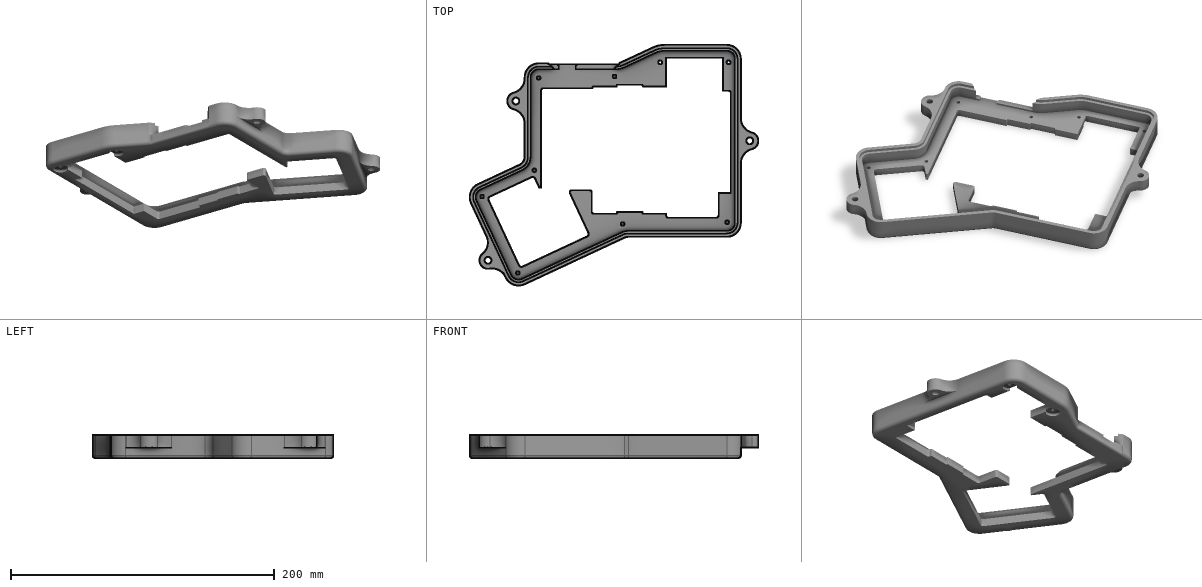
import cadquery as cq
import math

total_height = 17.8
floor_thickness = 6.1
sill_height = 7.7
lug_height = 9.7
lid_seat_depth = 2.2
bottom_round = 2.5

lip_width = 2.6
wall_width = 4.5
convex_radius = 11.0
concave_radius = 6.5
shoulder_radius = 22.0
shoulder_foot_radius = 13.2

left_side = 41.7
right_side = 206.2
front_side = 37.0
back_side = 183.2
back_left_side = 169.1

wing_angle = math.radians(25)
wing_left = 27.5
wing_front = -16.7
wing_back = 67.3
shoulder_slope = 105.3

lug_radius = 6.5
lug_hole_diameter = 5.0
lug_offset = 6.5
lug_blend_radius = 11.0

screw_diameter = 2.9
screw_depth = 3.3
head_diameter = 11.0
head_depth = 2.2

notch_recess = 0.7
notch_left = 64.3
notch_right = 109.5
gap_left = 67.5
gap_right = 80.7
gap_flare = 1.3

opening_left = 54.5
opening_right = 198.3
opening_back = 150.0
opening_front = 54.8
window_front = -3.7
window_back = 54.8
window_left = 40.5
window_right = 98.7
spike_edge = 79.5
step = 1.3
step_round = 0.55
bay_end_round = 1.5
opening_round = 1.5
window_round = 2.0


def wing(u, v):
    """Point given along the wing's own axes."""
    c, s = math.cos(wing_angle), math.sin(wing_angle)
    return (u * c - v * s, u * s + v * c)


def wing_v_at_x(x, v):
    """Point at the given x on the wing line of constant v."""
    return (x, (v + x * math.sin(wing_angle)) / math.cos(wing_angle))


def wing_v_at_y(y, v):
    """Point at the given y on the wing line of constant v."""
    return ((y * math.cos(wing_angle) - v) / math.sin(wing_angle), y)


def wing_u_at_y(y, u):
    """Point at the given y on the wing line of constant u."""
    return ((u - y * math.sin(wing_angle)) / math.cos(wing_angle), y)


def rounded_outline(corners, z=0):
    """Closed outline through (point, radius) corners; radius 0 stays sharp."""
    work = cq.Workplane("XY").workplane(offset=z)
    started = False
    for i, (point, radius) in enumerate(corners):
        here = cq.Vector(*point)
        to_last = (cq.Vector(*corners[i - 1][0]) - here).normalized()
        to_next = (cq.Vector(*corners[(i + 1) % len(corners)][0]) - here).normalized()
        half_angle = to_last.getAngle(to_next) / 2
        setback = radius / math.tan(half_angle)
        begin = here + to_last * setback
        end = here + to_next * setback
        work = work.lineTo(begin.x, begin.y) if started else work.moveTo(begin.x, begin.y)
        started = True
        if radius:
            bisector = (to_last + to_next).normalized()
            middle = here + bisector * (radius / math.sin(half_angle) - radius)
            work = work.threePointArc((middle.x, middle.y), (end.x, end.y))
    return work.close()


outer_corners = [
    (wing(wing_left, wing_front), convex_radius),
    (wing_v_at_y(front_side, wing_front), concave_radius),
    ((right_side, front_side), convex_radius),
    ((right_side, back_side), convex_radius),
    (wing_v_at_y(back_side, shoulder_slope), shoulder_radius),
    (wing_v_at_y(back_left_side, shoulder_slope), shoulder_foot_radius),
    ((left_side, back_left_side), convex_radius),
    (wing_v_at_x(left_side, wing_back), concave_radius),
    (wing(wing_left, wing_back), convex_radius),
]


def inset_outline(inset, z):
    """Tray outline moved inward, keeping its corners concentric."""
    return rounded_outline(outer_corners, z).offset2D(-inset)


def tray():
    body = rounded_outline(outer_corners).extrude(total_height)
    body = body.faces("<Z").edges().fillet(bottom_round)
    cavity = inset_outline(wall_width, floor_thickness).extrude(total_height)
    lid_seat = inset_outline(lip_width, total_height - lid_seat_depth).extrude(total_height)
    return body.cut(cavity).cut(lid_seat)


right_lug_y = 110.1
left_lug_y = 140.5
wing_lug_v = 11.6
lugs = [
    ((right_side + lug_offset, right_lug_y), 0),
    ((left_side - lug_offset, left_lug_y), 180),
    (wing(wing_left - lug_offset, wing_lug_v), 180 + math.degrees(wing_angle)),
]


def placed_lug(shape, centre, direction):
    return shape.rotate((0, 0, 0), (0, 0, 1), direction).translate((*centre, 0))


def lug_body():
    """Round ear blended into a wall face lying at x = -lug_offset."""
    reach = lug_radius + lug_blend_radius
    blend_x = lug_blend_radius - lug_offset
    blend_y = math.sqrt(reach**2 - blend_x**2)
    meet_x = blend_x * lug_radius / reach
    meet_y = blend_y * lug_radius / reach
    middle_angle = math.pi + math.atan2(blend_y, blend_x) / 2
    middle_x = blend_x + lug_blend_radius * math.cos(middle_angle)
    middle_y = blend_y + lug_blend_radius * math.sin(middle_angle)
    root_x = -lug_offset - lip_width / 2
    return (
        cq.Workplane("XY").workplane(offset=total_height - lug_height)
        .moveTo(root_x, -blend_y)
        .lineTo(-lug_offset, -blend_y)
        .threePointArc((middle_x, -middle_y), (meet_x, -meet_y))
        .threePointArc((lug_radius, 0), (meet_x, meet_y))
        .threePointArc((middle_x, middle_y), (-lug_offset, blend_y))
        .lineTo(root_x, blend_y)
        .close()
        .extrude(lug_height)
    )


left_step_x = 93.5
mid_step_left = 111.9
mid_step_right = 131.5
bay_left = 149.4
back_bay = (192.4, 173.0)
back_bay_end = 148.0
front_bay = (189.0, 51.8)
front_bay_end = 70.6
tongue_right = 92.8
tongue_back = 72.5
spike_tip = 74.5

opening_corners = [
    ((opening_left, opening_back), opening_round),
    ((left_step_x, opening_back), step_round),
    ((left_step_x, opening_back + step), step_round),
    ((mid_step_left, opening_back + step), 0),
    ((mid_step_left, opening_back + 2 * step), 0),
    ((mid_step_right, opening_back + 2 * step), step_round),
    ((mid_step_right, opening_back + step), step_round),
    ((bay_left, opening_back + step), 0),
    ((bay_left, back_bay[1]), 0),
    (back_bay, 0),
    ((back_bay[0], back_bay_end), 0),
    ((opening_right, back_bay_end), bay_end_round),
    ((opening_right, front_bay_end), 0),
    ((front_bay[0], front_bay_end), 0),
    (front_bay, opening_round),
    ((bay_left, front_bay[1]), opening_round),
    ((bay_left, opening_front), 0),
    ((mid_step_right, opening_front), step_round),
    ((mid_step_right, opening_front + step), step_round),
    ((mid_step_left, opening_front + step), step_round),
    ((mid_step_left, opening_front), step_round),
    ((tongue_right, opening_front), opening_round),
    ((tongue_right, tongue_back), opening_round),
    (wing_u_at_y(tongue_back, window_right), opening_round),
    (wing(window_right, window_front), window_round),
    (wing(window_left, window_front), window_round),
    (wing(window_left, window_back), window_round),
    (wing(spike_edge, window_back), window_round),
    (wing_u_at_y(spike_tip, spike_edge), 0),
    ((opening_left, spike_tip), 0),
]

blind_screws = [
    (52.5, 158.0), (110.1, 159.0), (49.1, 87.7), (9.5, 67.8), (36.6, 9.7), (116.3, 47.0), (195.7, 48.3),
]
through_screws = [(144.8, 169.8), (196.8, 169.8)]


def drill(points, diameter, bottom, top):
    return (
        cq.Workplane("XY").workplane(offset=bottom)
        .pushPoints(points).circle(diameter / 2).extrude(top - bottom)
    )


def prism(points, bottom, top):
    return cq.Workplane("XY").workplane(offset=bottom).polyline(points).close().extrude(top - bottom)


def cable_notch():
    inner_face = back_left_side - wall_width
    recessed_face = back_left_side - notch_recess
    beyond = back_left_side + wall_width
    flare = beyond - inner_face
    opening = prism(
        [(notch_left, inner_face), (notch_right, inner_face),
         (notch_right + flare, beyond), (notch_left - flare, beyond)],
        sill_height, total_height)
    gap = prism(
        [(gap_left, inner_face), (gap_right, inner_face),
         (gap_right, recessed_face - gap_flare), (gap_right + gap_flare, recessed_face),
         (gap_right + gap_flare, beyond), (gap_left - gap_flare, beyond),
         (gap_left - gap_flare, recessed_face), (gap_left, recessed_face - gap_flare)],
        floor_thickness, total_height)
    setback = prism(
        [(notch_left - wall_width, recessed_face), (notch_right + wall_width, recessed_face),
         (notch_right + wall_width, beyond), (notch_left - wall_width, beyond)],
        0, sill_height)
    return opening.union(gap).union(setback)


result = tray()
for centre, direction in lugs:
    result = result.union(placed_lug(lug_body(), centre, direction))
lug_centres = [centre for centre, _ in lugs]
result = result.cut(drill(lug_centres, lug_hole_diameter, 0, total_height))
result = result.cut(rounded_outline(opening_corners).extrude(floor_thickness))
result = result.cut(drill(blind_screws, screw_diameter, floor_thickness - screw_depth, floor_thickness))
result = result.cut(drill(through_screws, screw_diameter, 0, floor_thickness))
result = result.cut(drill(through_screws, head_diameter, 0, head_depth))
result = result.cut(cable_notch())